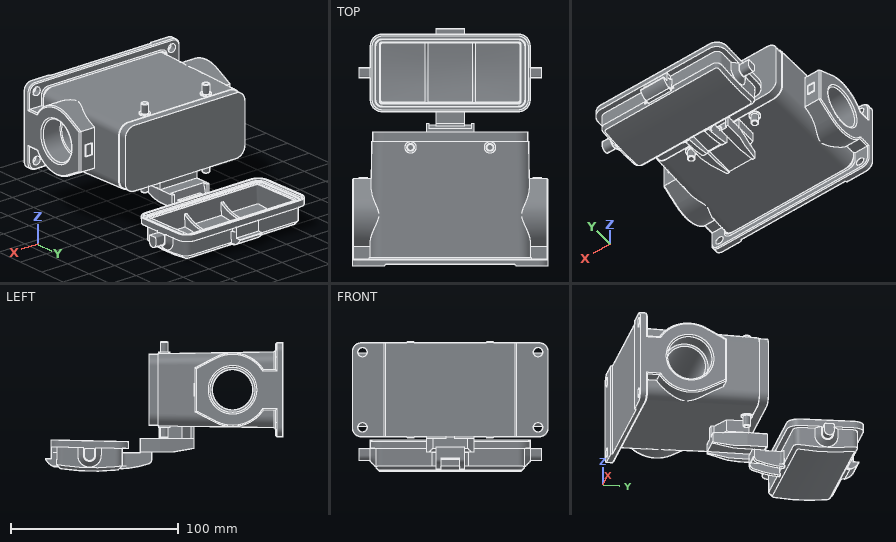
import cadquery as cq
import math


FLANGE_WIDTH = 117.0
FLANGE_HEIGHT = 56.2
FLANGE_THICKNESS = 4.4
FLANGE_CORNER_RADIUS = 5.4
FLANGE_EDGE_CHAMFER = 0.7
BACK_RECESS_WIDTH = 77.2
BACK_RECESS_DEPTH = 1.0
SCREW_HOLE_DIAMETER = 5.5
SCREW_SPACING_X = 104.8
SCREW_SPACING_Z = 44.8

HOUSING_WIDTH = 96.0
HOUSING_HEIGHT = 45.4
HOUSING_END = 80.1
HOUSING_CORNER_RADIUS = 7.0
HOUSING_DRAFT = 0.9
LIP_WIDTH = 92.8
LIP_HEIGHT = 42.6
LIP_LENGTH = 5.6
BASE_CHAMFER = 0.8

ENTRY_Y = 30.1
ENTRY_RADIUS = 22.0
ENTRY_SHOULDER_Y = 52.4
ENTRY_SHOULDER_HALF_HEIGHT = 13.2
ENTRY_NECK_HALF_HEIGHT = 12.1
ENTRY_ROOT_X = 36.0
ENTRY_EDGE_CHAMFER = 0.8
BORE_DIAMETER = 24.0
COUNTERBORE_DIAMETER = 26.9
COUNTERBORE_DEPTH = 14.1
MOUTH_DIAMETER = 29.0
NUB_X = 52.0
NUB_SIZE = (5.0, 0.6, 7.5)

PIN_SPACING = 47.4
PIN_Y = 70.9
PIN_DIAMETER = 4.6
PIN_TIP = 28.78
PIN_TIP_CHAMFER = 0.5
PIN_COLLAR_DIAMETER = 6.8
PIN_COLLAR_TOP = 22.4

BRACKET_WIDTH = 28.6
BRACKET_NOSE_WIDTH = 20.6
BRACKET_FRONT = 53.0
BRACKET_TAPER_START = 73.3
BRACKET_BACK = 85.3
BRACKET_SLOPE_TOP = 82.2
BRACKET_SLOPE_BOTTOM = 84.4
BRACKET_TOP = -29.0
BRACKET_BOTTOM = -37.3
BRACKET_NOSE_BOTTOM = -35.0
BRACKET_RAMP_END = 66.0
LEG_NOSE_WIDTH = 5.0
LEG_BACK = 74.0
LEG_BEVEL_START = 60.4
LEG_BEVEL_END = 55.0
LEG_OVERLAP = 1.0
CHEEK_THICKNESS = 1.7

ARM_WIDTH = 17.2
ARM_END = 78.3
ARM_KNUCKLE_TOP = -34.1
ARM_KNUCKLE_RADIUS = 1.1
ARM_TOP = -37.6
ARM_SLOT_WIDTH = 11.2
ARM_SLOT_TOP = -40.8
ARM_ROOT_BOTTOM = -47.3
ARM_BELLY = (86.2, -45.9)
ARM_HEEL = (80.6, -44.4)
ARM_HEEL_MIDDLE = (78.9, -43.3)
ARM_HEEL_TOP = -41.2
ARM_ROOT_DEPTH = 1.0
FLARE_RADIUS = 2.2
FLARE_BOTTOM = -45.6

LID_Y = 115.3
LID_TOP = -30.4
LID_TILT = 1.25
RIM_WIDTH = 95.6
RIM_LENGTH = 46.4
RIM_THICKNESS = 4.2
RIM_CORNER_RADIUS = 7.2
RIM_WALL = 1.2
RIM_LEDGE_DEPTH = 1.2
GROOVE_INSET = 2.8
GROOVE_WIDTH = 0.5
GROOVE_DEPTH = 0.5
SHELL_WIDTH = 88.8
SHELL_LENGTH = 39.0
SHELL_CORNER_RADIUS = 4.0
SHELL_DEPTH = 18.27
DOME_RISE = 1.5
SHELL_EDGE_CHAMFER = 2.1
POCKET_WIDTH = 83.4
POCKET_LENGTH = 36.0
POCKET_CORNER_RADIUS = 1.0
POCKET_DRAFT = 0.5
POCKET_MOUTH_STEP = 0.4
POCKET_MOUTH_DEPTH = 2.1
LID_WALL = 2.4
RIB_X = 14.1
RIB_THICKNESS = 1.8
RIB_END_DEPTH = 6.0
RIB_MID_DEPTH = 12.0
LUG_END_X = 54.5
LUG_HALF_WIDTH = 3.05
LUG_TOP = -4.6
LUG_CENTER = -8.8
LUG_EDGE_RADIUS = 0.9
GUSSET_RADIUS = 7.0
GUSSET_TAPER = 45.0

TAB_TOP = -34.0
TAB_BACK = 138.4
TAB_TIP_Y = 141.74
TAB_TIP_THICKNESS = 0.5
TAB_HOOK_TOP = -41.1
TAB_BELLY = (139.3, -44.5)
TAB_HEEL = (136.3, -46.2)


def rounded_slab(width, depth, radius, height):
    """Slab centred on the Z axis, standing on Z = 0, with round upright edges."""
    return cq.Workplane("XY").rect(width, depth).extrude(height).edges("|Z").fillet(radius)


def tapered_slab(width, depth, radius, height, taper):
    """Rounded slab standing on Z = 0 whose sides lean inwards."""
    slab = cq.Workplane("XY").rect(width, depth).extrude(height, taper=taper)
    return slab.edges("not(<Z or >Z)").fillet(radius)


def stand_on_flange(body, start_y):
    """Turn a body built along Z so that it grows along +Y from start_y."""
    return body.rotate((0, 0, 0), (1, 0, 0), -90).translate((0, start_y, 0))


def both_sides(body):
    return body.union(body.mirror("YZ"))


def prism_along_x(profile, width):
    """Extrude a closed profile drawn in the YZ plane evenly to both sides of X = 0."""
    return profile.close().extrude(width / 2, both=True)


def box_between(low, high):
    size = [b - a for a, b in zip(low, high)]
    return cq.Workplane("XY").box(*size, centered=False).translate(low)


def make_flange():
    slab = rounded_slab(FLANGE_WIDTH, FLANGE_HEIGHT, FLANGE_CORNER_RADIUS, FLANGE_THICKNESS)
    slab = slab.faces(">Z").chamfer(FLANGE_EDGE_CHAMFER)
    flange = stand_on_flange(slab, 0)
    half = BACK_RECESS_WIDTH / 2
    recess = (
        cq.Workplane("XY")
        .moveTo(-half - BACK_RECESS_DEPTH, 0)
        .lineTo(-half, BACK_RECESS_DEPTH)
        .lineTo(half, BACK_RECESS_DEPTH)
        .lineTo(half + BACK_RECESS_DEPTH, 0)
        .close()
        .extrude(FLANGE_HEIGHT, both=True)
    )
    holes = (
        cq.Workplane("XZ")
        .rarray(SCREW_SPACING_X, SCREW_SPACING_Z, 2, 2)
        .circle(SCREW_HOLE_DIAMETER / 2)
        .extrude(-FLANGE_THICKNESS)
    )
    return flange.cut(recess).cut(holes)


def make_housing():
    block_length = HOUSING_END - LIP_LENGTH - FLANGE_THICKNESS
    block = tapered_slab(HOUSING_WIDTH, HOUSING_HEIGHT, HOUSING_CORNER_RADIUS, block_length, HOUSING_DRAFT)
    base = tapered_slab(
        HOUSING_WIDTH + 2 * BASE_CHAMFER,
        HOUSING_HEIGHT + 2 * BASE_CHAMFER,
        HOUSING_CORNER_RADIUS + BASE_CHAMFER,
        BASE_CHAMFER,
        45,
    )
    lip = rounded_slab(LIP_WIDTH, LIP_HEIGHT, HOUSING_CORNER_RADIUS, LIP_LENGTH)
    housing = stand_on_flange(block.union(base), FLANGE_THICKNESS)
    return housing.union(stand_on_flange(lip, HOUSING_END - LIP_LENGTH))


def make_entry():
    """Cable entry on the +X side: a round boss with a flat shoulder and a neck to the flange."""
    shoulder_offset = ENTRY_SHOULDER_Y - ENTRY_Y
    corner_distance = math.hypot(shoulder_offset, ENTRY_SHOULDER_HALF_HEIGHT)
    corner_angle = math.atan2(ENTRY_SHOULDER_HALF_HEIGHT, shoulder_offset)
    tangent_angle = corner_angle + math.acos(ENTRY_RADIUS / corner_distance)
    tangent_y = ENTRY_Y + ENTRY_RADIUS * math.cos(tangent_angle)
    tangent_z = ENTRY_RADIUS * math.sin(tangent_angle)
    neck_y = ENTRY_Y - math.sqrt(ENTRY_RADIUS**2 - ENTRY_NECK_HALF_HEIGHT**2)
    arc_angle = (tangent_angle + math.pi - math.asin(ENTRY_NECK_HALF_HEIGHT / ENTRY_RADIUS)) / 2
    arc_y = ENTRY_Y + ENTRY_RADIUS * math.cos(arc_angle)
    arc_z = ENTRY_RADIUS * math.sin(arc_angle)
    boss = (
        cq.Workplane("YZ", origin=(ENTRY_ROOT_X, 0, 0))
        .moveTo(BACK_RECESS_DEPTH, ENTRY_NECK_HALF_HEIGHT)
        .lineTo(neck_y, ENTRY_NECK_HALF_HEIGHT)
        .threePointArc((arc_y, arc_z), (tangent_y, tangent_z))
        .lineTo(ENTRY_SHOULDER_Y, ENTRY_SHOULDER_HALF_HEIGHT)
        .lineTo(ENTRY_SHOULDER_Y, -ENTRY_SHOULDER_HALF_HEIGHT)
        .lineTo(tangent_y, -tangent_z)
        .threePointArc((arc_y, -arc_z), (neck_y, -ENTRY_NECK_HALF_HEIGHT))
        .lineTo(BACK_RECESS_DEPTH, -ENTRY_NECK_HALF_HEIGHT)
        .close()
        .extrude(FLANGE_WIDTH / 2 - ENTRY_ROOT_X)
        .faces(">X")
        .chamfer(ENTRY_EDGE_CHAMFER)
    )
    nub = cq.Workplane("XY").box(*NUB_SIZE).translate((NUB_X, ENTRY_SHOULDER_Y + NUB_SIZE[1] / 2, 0))
    return boss.union(nub)


def make_entry_bores():
    """Through bore, widened and bevelled at both entries."""
    outer_x = FLANGE_WIDTH / 2
    mouth_bevel = (MOUTH_DIAMETER - COUNTERBORE_DIAMETER) / 2
    axis_plane = cq.Workplane("YZ").center(ENTRY_Y, 0)
    bore = axis_plane.circle(BORE_DIAMETER / 2).extrude(outer_x, both=True)
    counterbore = (
        axis_plane.workplane(offset=outer_x)
        .circle(COUNTERBORE_DIAMETER / 2)
        .extrude(-COUNTERBORE_DEPTH)
    )
    mouth = axis_plane.workplane(offset=outer_x).circle(MOUTH_DIAMETER / 2).extrude(-mouth_bevel, taper=45)
    return bore.union(both_sides(counterbore.union(mouth)))


def make_pins():
    """Two locking pins run through the housing height and stand out above and below."""
    points = [(-PIN_SPACING / 2, PIN_Y), (PIN_SPACING / 2, PIN_Y)]
    plane = cq.Workplane("XY").pushPoints(points)
    pins = plane.circle(PIN_DIAMETER / 2).extrude(PIN_TIP, both=True)
    pins = pins.faces("<Z or >Z").chamfer(PIN_TIP_CHAMFER)
    return pins.union(plane.circle(PIN_COLLAR_DIAMETER / 2).extrude(PIN_COLLAR_TOP, both=True))


def make_bracket():
    nose = BRACKET_NOSE_WIDTH / 2
    half = BRACKET_WIDTH / 2
    plate = (
        cq.Workplane("XY", origin=(0, 0, BRACKET_BOTTOM))
        .polyline(
            [
                (-nose, BRACKET_FRONT),
                (nose, BRACKET_FRONT),
                (half, BRACKET_TAPER_START),
                (half, BRACKET_BACK),
                (-half, BRACKET_BACK),
                (-half, BRACKET_TAPER_START),
            ]
        )
        .close()
        .extrude(BRACKET_TOP - BRACKET_BOTTOM)
    )
    ramp = prism_along_x(
        cq.Workplane("YZ").polyline(
            [
                (BRACKET_FRONT, BRACKET_NOSE_BOTTOM),
                (BRACKET_RAMP_END, BRACKET_BOTTOM),
                (BRACKET_FRONT, BRACKET_BOTTOM),
            ]
        ),
        BRACKET_WIDTH,
    )
    leg_nose = LEG_NOSE_WIDTH / 2
    leg = (
        cq.Workplane("XY", origin=(0, 0, BRACKET_TOP))
        .polyline(
            [
                (-leg_nose, BRACKET_FRONT),
                (leg_nose, BRACKET_FRONT),
                (leg_nose, LEG_BEVEL_END),
                (half, LEG_BEVEL_START),
                (half, LEG_BACK),
                (-half, LEG_BACK),
                (-half, LEG_BEVEL_START),
                (-leg_nose, LEG_BEVEL_END),
            ]
        )
        .close()
        .extrude(-BRACKET_TOP - LIP_HEIGHT / 2 + LEG_OVERLAP)
    )
    channel = box_between(
        (-ARM_WIDTH / 2, BRACKET_FRONT, BRACKET_BOTTOM),
        (ARM_WIDTH / 2, BRACKET_BACK, ARM_KNUCKLE_TOP),
    )
    slope = prism_along_x(
        cq.Workplane("YZ").polyline(
            [
                (BRACKET_SLOPE_BOTTOM, BRACKET_BOTTOM),
                (BRACKET_SLOPE_TOP, BRACKET_TOP),
                (BRACKET_BACK, BRACKET_TOP),
                (BRACKET_BACK, BRACKET_BOTTOM),
            ]
        ),
        BRACKET_WIDTH - 2 * CHEEK_THICKNESS,
    )
    return plate.cut(ramp).union(leg).cut(channel).cut(slope)


def make_flare():
    """Concave fillets that widen the arm towards the near wall of the lid shell."""
    half = ARM_WIDTH / 2
    shell_y = LID_Y - SHELL_LENGTH / 2
    root_y = shell_y + ARM_ROOT_DEPTH
    return (
        cq.Workplane("XY", origin=(0, 0, FLARE_BOTTOM))
        .moveTo(-half - FLARE_RADIUS, shell_y)
        .radiusArc((-half, shell_y - FLARE_RADIUS), FLARE_RADIUS)
        .lineTo(half, shell_y - FLARE_RADIUS)
        .radiusArc((half + FLARE_RADIUS, shell_y), FLARE_RADIUS)
        .lineTo(half + FLARE_RADIUS, root_y)
        .lineTo(-half - FLARE_RADIUS, root_y)
        .close()
        .extrude(ARM_TOP - FLARE_BOTTOM)
    )


def make_arm():
    """Lid arm whose knuckle fills the back of the bracket channel."""
    shell_y = LID_Y - SHELL_LENGTH / 2
    root_y = shell_y + ARM_ROOT_DEPTH
    arm = prism_along_x(
        cq.Workplane("YZ")
        .moveTo(ARM_END, ARM_KNUCKLE_TOP - ARM_KNUCKLE_RADIUS)
        .radiusArc((ARM_END + ARM_KNUCKLE_RADIUS, ARM_KNUCKLE_TOP), ARM_KNUCKLE_RADIUS)
        .lineTo(BRACKET_BACK, ARM_KNUCKLE_TOP)
        .lineTo(BRACKET_BACK, ARM_TOP)
        .lineTo(root_y, ARM_TOP)
        .lineTo(root_y, ARM_ROOT_BOTTOM)
        .threePointArc(ARM_BELLY, ARM_HEEL)
        .threePointArc(ARM_HEEL_MIDDLE, (ARM_END, ARM_HEEL_TOP)),
        ARM_WIDTH,
    )
    slot = box_between(
        (-ARM_SLOT_WIDTH / 2, ARM_END, LID_TOP - SHELL_DEPTH),
        (ARM_SLOT_WIDTH / 2, root_y, ARM_SLOT_TOP),
    )
    return arm.union(make_flare()).cut(slot)


def make_tab():
    """Finger tab on the far end of the lid, with the same flare as the arm."""
    root_y = LID_Y + SHELL_LENGTH / 2 - ARM_ROOT_DEPTH
    tab = prism_along_x(
        cq.Workplane("YZ")
        .moveTo(root_y, TAB_TOP)
        .lineTo(TAB_BACK, TAB_TOP)
        .lineTo(TAB_BACK, TAB_HOOK_TOP)
        .lineTo(TAB_TIP_Y, TAB_HOOK_TOP)
        .lineTo(TAB_TIP_Y, TAB_HOOK_TOP - TAB_TIP_THICKNESS)
        .threePointArc(TAB_BELLY, TAB_HEEL)
        .lineTo(root_y, TAB_HEEL[1]),
        ARM_WIDTH,
    )
    flare = make_flare().translate((0, -LID_Y, 0)).mirror("XZ").translate((0, LID_Y, 0))
    return tab.union(flare)


def domed_profile(half_length, depth, draft=0):
    """Closed outline in the YZ plane, flat at Z = 0, narrowing by draft and bulging down to depth."""
    return (
        cq.Workplane("YZ")
        .moveTo(-half_length, 0)
        .lineTo(half_length, 0)
        .lineTo(half_length - draft, DOME_RISE - depth)
        .threePointArc((0, -depth), (draft - half_length, DOME_RISE - depth))
    )


def make_lid_shell():
    """Domed shell under the rim, with its mating face on Z = 0."""
    shell = prism_along_x(domed_profile(SHELL_LENGTH / 2, SHELL_DEPTH), SHELL_WIDTH)
    shell = shell.edges("|Z").fillet(SHELL_CORNER_RADIUS)
    return shell.faces("<Z").edges().chamfer(SHELL_EDGE_CHAMFER)


def make_lid_pocket():
    """Hollow of the lid with a stepped mouth, leaving two ribs standing on its floor."""
    floor_depth = SHELL_DEPTH - LID_WALL
    profile = domed_profile(POCKET_LENGTH / 2, floor_depth, POCKET_DRAFT)
    pocket = prism_along_x(profile, POCKET_WIDTH)
    pocket = pocket.faces("<Y or >Y").edges("not |X").fillet(POCKET_CORNER_RADIUS)
    mouth = rounded_slab(
        POCKET_WIDTH + 2 * POCKET_MOUTH_STEP,
        POCKET_LENGTH + 2 * POCKET_MOUTH_STEP,
        POCKET_CORNER_RADIUS,
        POCKET_MOUTH_DEPTH,
    )
    pocket = pocket.union(mouth.translate((0, 0, -POCKET_MOUTH_DEPTH)))
    half = POCKET_LENGTH / 2
    rib = prism_along_x(
        cq.Workplane("YZ")
        .moveTo(-half, -SHELL_DEPTH)
        .lineTo(-half, -RIB_END_DEPTH)
        .threePointArc((0, -RIB_MID_DEPTH), (half, -RIB_END_DEPTH))
        .lineTo(half, -SHELL_DEPTH),
        RIB_THICKNESS,
    )
    for x in (-RIB_X, RIB_X):
        pocket = pocket.cut(rib.translate((x, 0, 0)))
    return pocket


def make_lid_rim():
    """Rim plate with a standing outer wall and a seal groove in its ledge."""

    def inset_slab(inset, depth):
        slab = rounded_slab(
            RIM_WIDTH - 2 * inset, RIM_LENGTH - 2 * inset, RIM_CORNER_RADIUS - inset, depth
        )
        return slab.translate((0, 0, -depth))

    groove_floor = RIM_LEDGE_DEPTH + GROOVE_DEPTH
    groove = inset_slab(GROOVE_INSET, groove_floor).cut(inset_slab(GROOVE_INSET + GROOVE_WIDTH, groove_floor))
    recess = inset_slab(RIM_WALL, RIM_LEDGE_DEPTH).union(groove)
    return inset_slab(0, RIM_THICKNESS), recess


def u_profile(half_width, top, start_x):
    """Upright U, round at the bottom, drawn on the plane X = start_x."""
    return (
        cq.Workplane("YZ", origin=(start_x, 0, 0))
        .moveTo(-half_width, top)
        .lineTo(-half_width, LUG_CENTER)
        .threePointArc((0, LUG_CENTER - half_width), (half_width, LUG_CENTER))
        .lineTo(half_width, top)
        .close()
    )


def make_lug():
    """Pivot lug on the +X end of the lid, with its tapering gusset."""
    shell_x = SHELL_WIDTH / 2
    root_x = shell_x - LID_WALL / 2
    gusset_length = (RIM_WIDTH - SHELL_WIDTH) / 2
    gusset_top = gusset_length - RIM_THICKNESS
    gusset = u_profile(GUSSET_RADIUS, gusset_top, shell_x).extrude(gusset_length, taper=GUSSET_TAPER)
    lug = u_profile(LUG_HALF_WIDTH, LUG_TOP, root_x).extrude(LUG_END_X - root_x)
    return gusset.union(lug.faces(">Z").edges("|X").fillet(LUG_EDGE_RADIUS))


def make_lid():
    rim, recess = make_lid_rim()
    lid = make_lid_shell().union(rim).union(both_sides(make_lug()))
    lid = lid.cut(recess).cut(make_lid_pocket())
    return lid.rotate((0, 0, 0), (1, 0, 0), LID_TILT).translate((0, LID_Y, LID_TOP))


housing = make_flange().union(make_housing()).union(both_sides(make_entry())).cut(make_entry_bores())
housing = housing.union(make_pins()).union(make_bracket())
result = housing.union(make_arm()).union(make_tab()).union(make_lid())